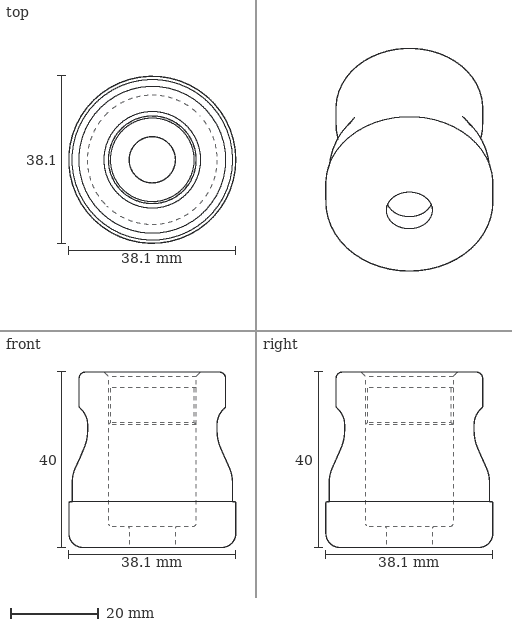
import math
import cadquery as cq

height = 40.0
bore_radius = 10.0

base_radius = 19.05
base_round = 3.3
base_top = 10.5
base_top_round = 0.4
skirt_radius = 18.3
skirt_top = 14.9
shoulder_round = 8.0
cone_angle = math.radians(24.0)
neck_flare = 10.0
neck_radius = 14.75
neck_length = 1.35
flange_radius = 16.7
groove_round = 5.0
flange_slope = math.radians(45.0)
flange_lower_round = 0.4
flange_top_round = 1.5

floor_height = 4.8
floor_round = 0.8
mouth_chamfer = 1.0
drain_radius = 5.25
drain_round = 0.4

sleeve_radius = 9.5
sleeve_top = 36.5
sleeve_length = 8.4
sleeve_chamfer = 0.4


def arc_points(center_r, center_z, radius, start, end):
    """Middle and end point of an arc in the (radius, height) plane."""
    return [
        (center_r + radius * math.cos(angle), center_z + radius * math.sin(angle))
        for angle in ((start + end) / 2, end)
    ]


def revolve_profile(profile):
    """Turn a closed (radius, height) outline around the Z axis."""
    return profile.close().revolve(360, (0, 0, 0), (0, 1, 0))


def make_housing():
    shoulder = arc_points(skirt_radius - shoulder_round, skirt_top, shoulder_round, 0, cone_angle)
    arcs_inset = (shoulder_round + neck_flare) * (1 - math.cos(cone_angle))
    cone_rise = (skirt_radius - neck_radius - arcs_inset) / math.tan(cone_angle)
    neck_bottom = shoulder[-1][1] + cone_rise + neck_flare * math.sin(cone_angle)
    neck_top = neck_bottom + neck_length
    flare_center = neck_radius + neck_flare
    flare_start = math.pi + cone_angle
    cone_top = (
        flare_center - neck_flare * math.cos(cone_angle),
        neck_bottom - neck_flare * math.sin(cone_angle),
    )
    flare = arc_points(flare_center, neck_bottom, neck_flare, flare_start, math.pi)

    groove_arcs_width = (groove_round + flange_lower_round) * (1 - math.cos(flange_slope))
    slope_rise = (flange_radius - neck_radius - groove_arcs_width) / math.tan(flange_slope)
    groove_arcs_rise = (groove_round + flange_lower_round) * math.sin(flange_slope)
    flange_bottom = neck_top + groove_arcs_rise + slope_rise
    lip_center = flange_radius - flange_lower_round
    slope_top = (
        lip_center + flange_lower_round * math.cos(flange_slope),
        flange_bottom - flange_lower_round * math.sin(flange_slope),
    )
    groove = arc_points(neck_radius + groove_round, neck_top, groove_round, math.pi, math.pi - flange_slope)
    lip = arc_points(lip_center, flange_bottom, flange_lower_round, -flange_slope, 0)

    profile = (
        cq.Workplane("XZ")
        .moveTo(drain_radius, 0)
        .lineTo(base_radius - base_round, 0)
        .threePointArc(*arc_points(base_radius - base_round, base_round, base_round, -math.pi / 2, 0))
        .lineTo(base_radius, base_top - base_top_round)
        .threePointArc(
            *arc_points(base_radius - base_top_round, base_top - base_top_round,
                        base_top_round, 0, math.pi / 2)
        )
        .lineTo(skirt_radius, base_top)
        .lineTo(skirt_radius, skirt_top)
        .threePointArc(*shoulder)
        .lineTo(*cone_top)
        .threePointArc(*flare)
        .lineTo(neck_radius, neck_top)
        .threePointArc(*groove)
        .lineTo(*slope_top)
        .threePointArc(*lip)
        .lineTo(flange_radius, height - flange_top_round)
        .threePointArc(
            *arc_points(flange_radius - flange_top_round, height - flange_top_round,
                        flange_top_round, 0, math.pi / 2)
        )
        .lineTo(bore_radius + mouth_chamfer, height)
        .lineTo(bore_radius, height - mouth_chamfer)
        .lineTo(bore_radius, floor_height + floor_round)
        .threePointArc(
            *arc_points(bore_radius - floor_round, floor_height + floor_round,
                        floor_round, 0, -math.pi / 2)
        )
        .lineTo(drain_radius + drain_round, floor_height)
        .threePointArc(
            *arc_points(drain_radius + drain_round, floor_height - drain_round,
                        drain_round, math.pi / 2, math.pi)
        )
    )
    return revolve_profile(profile)


def make_sleeve():
    sleeve_bottom = sleeve_top - sleeve_length
    profile = (
        cq.Workplane("XZ")
        .moveTo(sleeve_radius, sleeve_top)
        .lineTo(bore_radius, sleeve_top)
        .lineTo(bore_radius, sleeve_bottom)
        .lineTo(sleeve_radius + sleeve_chamfer, sleeve_bottom)
        .lineTo(sleeve_radius, sleeve_bottom + sleeve_chamfer)
    )
    return revolve_profile(profile)


housing = make_housing()
sleeve = make_sleeve()
result = cq.Compound.makeCompound([housing.val(), sleeve.val()])